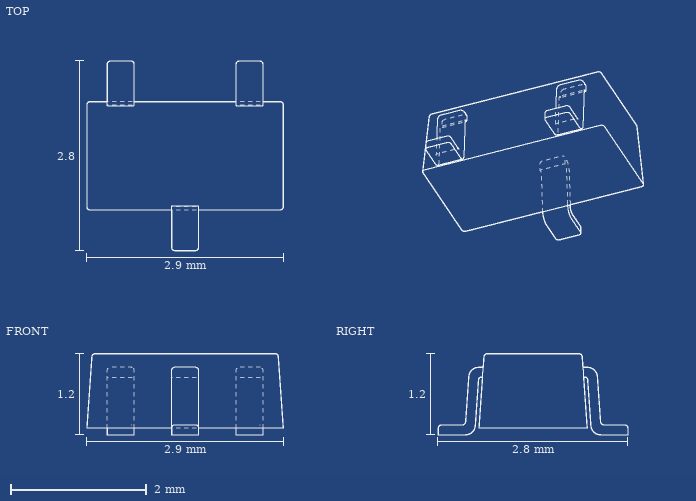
import cadquery as cq
import math

housing_length = 2.9
housing_depth = 1.6
housing_top = 1.2
standoff = 0.1
housing_height = housing_top - standoff
draft_angle = 4.0
draft_slope = math.tan(math.radians(draft_angle))
edge_round = 0.05

lead_span = 2.8
lead_width = 0.4
lead_thickness = 0.15
lead_top = 1.0
shank_heel_y = 1.0
convex_bend_radius = 0.15
concave_bend_radius = 0.05
shank_inner_radius = 0.03
rear_lead_pitch = 1.9

lead_places = [
    (-rear_lead_pitch / 2, 0),
    (rear_lead_pitch / 2, 0),
    (0, 180),
]


def make_housing():
    block = (
        cq.Workplane("XY")
        .workplane(offset=standoff)
        .rect(housing_length, housing_depth)
        .extrude(housing_height, taper=draft_angle)
    )
    block = block.edges("not(#Z)").fillet(edge_round)
    return block.faces(">Z").edges().fillet(edge_round)


def housing_wall_y(z):
    """Y of the sloping rear wall of the housing at height z."""
    return housing_depth / 2 - draft_slope * (z - standoff)


def shank_outer_y(z):
    """Y of the outer face of the shank, which leans with the housing wall."""
    return shank_heel_y - draft_slope * (z - lead_thickness)


def shank_inner_y(z):
    """Y of the inner face of the shank, one lead thickness behind the outer face."""
    return shank_outer_y(z) - lead_thickness / math.cos(math.radians(draft_angle))


def bend(lead, y, z, radius):
    """Round the crosswise edge of a lead at (y, z)."""
    return lead.edges(cq.selectors.NearestToPointSelector((0, y, z))).fillet(radius)


def make_lead():
    """Lead that starts flush on the rear housing wall and points to +Y."""
    toe_y = lead_span / 2
    shoulder_z = lead_top - lead_thickness
    shoulder = (shank_outer_y(lead_top), lead_top)
    armpit = (shank_inner_y(shoulder_z), shoulder_z)
    heel = (shank_inner_y(0), 0)
    instep = (shank_heel_y, lead_thickness)
    profile = [
        (housing_wall_y(lead_top), lead_top),
        shoulder,
        instep,
        (toe_y, lead_thickness),
        (toe_y, 0),
        heel,
        armpit,
        (housing_wall_y(shoulder_z), shoulder_z),
    ]
    lead = cq.Workplane("YZ").polyline(profile).close().extrude(lead_width / 2, both=True)
    lead = bend(lead, *shoulder, convex_bend_radius)
    lead = bend(lead, *heel, convex_bend_radius)
    lead = bend(lead, *instep, concave_bend_radius)
    lead = bend(lead, *armpit, shank_inner_radius)
    lead = lead.faces(">Y").edges("|Z").fillet(edge_round)
    return lead.faces(">Y").edges(">Z").fillet(edge_round)


housing = make_housing()

leads = []
for lead_x, turn in lead_places:
    lead = make_lead().rotate((0, 0, 0), (0, 0, 1), turn).translate((lead_x, 0, 0))
    leads.append(lead.val())

result = cq.Compound.makeCompound([housing.val(), *leads])